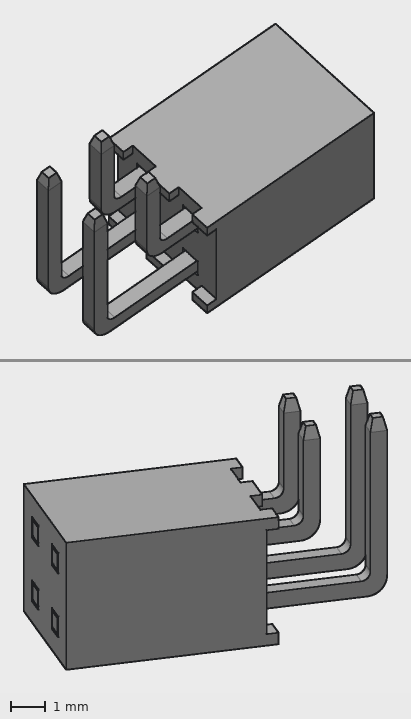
import cadquery as cq

overall_length = 9.87
overall_height = 6.3
pitch = 2.0

housing_width = 4.3
housing_height = 4.0
housing_length = 6.36
foot_depth = 0.36
foot_height = 0.37
notch_width = pitch / 2
hole_size = 0.65

wire = 0.5
bend_inner_radius = 0.28
bend_outer_radius = 0.6
tip_length = 0.39
tip_size = 0.31

column_xs = [-pitch / 2, pitch / 2]
lower_row_z = (housing_height - pitch) / 2
upper_row_z = lower_row_z + pitch
long_leg_y = -overall_length + wire / 2
short_leg_y = long_leg_y + pitch
rows = [(lower_row_z, long_leg_y), (upper_row_z, short_leg_y)]


def box(x_size, y_min, y_max, z_size, x_center, z_center):
    """Box centred in X and Z, spanning y_min to y_max."""
    y_center = (y_min + y_max) / 2
    return cq.Workplane("XY").box(x_size, y_max - y_min, z_size).translate((x_center, y_center, z_center))


def make_housing():
    """Block with a through hole per pin and standoff feet along two edges of its pin face."""
    pin_face_y = foot_depth - housing_length
    middle_z = housing_height / 2
    housing = box(housing_width, -housing_length, 0, housing_height, 0, middle_z)

    recess_height = housing_height - 2 * foot_height
    housing = housing.cut(box(housing_width, -housing_length, pin_face_y, recess_height, 0, middle_z))

    for x in column_xs:
        housing = housing.cut(box(notch_width, -housing_length, pin_face_y, housing_height, x, middle_z))
        for row_z, _ in rows:
            housing = housing.cut(box(hole_size, -housing_length, 0, hole_size, x, row_z))
    return housing


def make_pin(x, row_z, leg_y):
    """Bent pin from the mating face to an upright leg with a tapered tip."""
    outer_y = leg_y - wire / 2
    inner_y = leg_y + wire / 2
    bottom_z = row_z - wire / 2
    top_z = row_z + wire / 2
    shoulder_z = overall_height - tip_length

    bent_wire = (
        cq.Workplane("YZ")
        .moveTo(0, bottom_z)
        .lineTo(outer_y + bend_outer_radius, bottom_z)
        .radiusArc((outer_y, bottom_z + bend_outer_radius), bend_outer_radius)
        .lineTo(outer_y, shoulder_z)
        .lineTo(inner_y, shoulder_z)
        .lineTo(inner_y, top_z + bend_inner_radius)
        .radiusArc((inner_y + bend_inner_radius, top_z), -bend_inner_radius)
        .lineTo(0, top_z)
        .close()
        .extrude(wire / 2, both=True)
        .translate((x, 0, 0))
    )
    tip = (
        cq.Workplane("XY", origin=(x, leg_y, shoulder_z))
        .rect(wire, wire)
        .workplane(offset=tip_length)
        .rect(tip_size, tip_size)
        .loft(ruled=True)
    )
    return bent_wire.union(tip)


housing = make_housing()
pins = [make_pin(x, row_z, leg_y) for x in column_xs for row_z, leg_y in rows]

result = cq.Compound.makeCompound([housing.val(), *[pin.val() for pin in pins]])